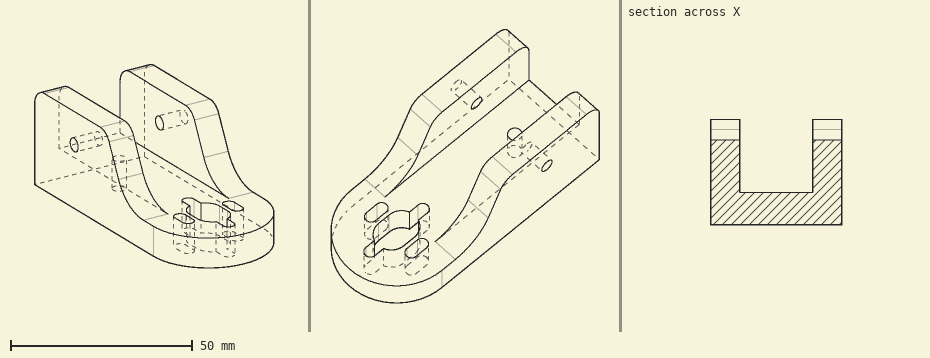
import cadquery as cq

length = 78.0
width = 36.0
height = 29.0
plate_thickness = 9.0
end_radius = width / 2
end_center_x = length - end_radius

channel_width = 20.0
wall_slope_top_x = 36.2
wall_slope_bottom_x = 46.2
crest_radius = 5.0
root_radius = 14.0

hole_diameter = 4.0
floor_hole_x = 15.0
cross_hole_x = 20.0
cross_hole_z = 19.0

slot_width = 3.6
slot_travel = 4.0
side_slot_offset = 8.0
hub_slot_width = 10.0
long_slot_travel = 20.0


def side_profile():
    """Sharp-cornered side outline, extruded across the full width."""
    return (
        cq.Workplane("XZ", origin=(0, width / 2, 0))
        .moveTo(0, 0)
        .lineTo(length, 0)
        .lineTo(length, plate_thickness)
        .lineTo(wall_slope_bottom_x, plate_thickness)
        .lineTo(wall_slope_top_x, height)
        .lineTo(0, height)
        .close()
        .extrude(width)
    )


def round_wall_edges(body):
    """Round the wall crests, then the sweep down into the plate."""
    body = body.edges("|Y and >Z").fillet(crest_radius)
    root_edge = cq.selectors.NearestToPointSelector((wall_slope_bottom_x, 0, plate_thickness))
    return body.edges("|Y").edges(root_edge).fillet(root_radius)


def through_slot(travel, slot_size, offset_y):
    """Round-ended cutter along X, centered on the rounded end's axis in X."""
    return (
        cq.Workplane("XY")
        .center(end_center_x, offset_y)
        .slot2D(travel + slot_size, slot_size)
        .extrude(plate_thickness)
    )


body = round_wall_edges(side_profile())

plan = (
    cq.Workplane("XY")
    .moveTo(0, -width / 2)
    .lineTo(end_center_x, -width / 2)
    .threePointArc((length, 0), (end_center_x, width / 2))
    .lineTo(0, width / 2)
    .close()
    .extrude(height)
)
body = body.intersect(plan)

channel = (
    cq.Workplane("XY", origin=(0, 0, plate_thickness))
    .rect(2 * length, channel_width)
    .extrude(height)
)
body = body.cut(channel)

floor_hole = cq.Workplane("XY").center(floor_hole_x, 0).circle(hole_diameter / 2).extrude(plate_thickness)
body = body.cut(floor_hole)

cross_hole = (
    cq.Workplane("XZ", origin=(0, width / 2, 0))
    .center(cross_hole_x, cross_hole_z)
    .circle(hole_diameter / 2)
    .extrude(width)
)
body = body.cut(cross_hole)

body = body.cut(through_slot(slot_travel, hub_slot_width, 0))
body = body.cut(through_slot(long_slot_travel, slot_width, 0))

for side in (-1, 1):
    body = body.cut(through_slot(slot_travel, slot_width, side * side_slot_offset))

result = body